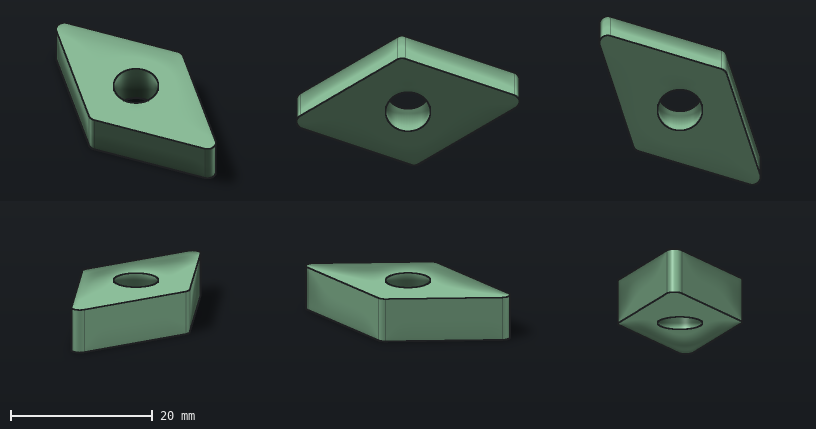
import cadquery as cq
import math

overall_length = 28.3
inscribed_circle = 15.88
thickness = 6.35
hole_diameter = 6.35
acute_angle = math.radians(55)

side_length = inscribed_circle / math.sin(acute_angle)
side_shift = inscribed_circle / math.tan(acute_angle)
sharp_length = side_length + side_shift

tip_loss_per_radius = 1 / math.tan(acute_angle / 2) - 1
corner_radius = (sharp_length - overall_length) / (2 * tip_loss_per_radius)

half_length = sharp_length / 2
half_width = inscribed_circle / 2
corners = [
    (-half_length, -half_width),
    (-half_length + side_length, -half_width),
    (half_length, half_width),
    (half_length - side_length, half_width),
]

body = cq.Workplane("XY").polyline(corners).close().extrude(thickness)
body = body.edges("|Z").fillet(corner_radius)

result = body.faces(">Z").workplane(origin=(0, 0, thickness)).hole(hole_diameter)